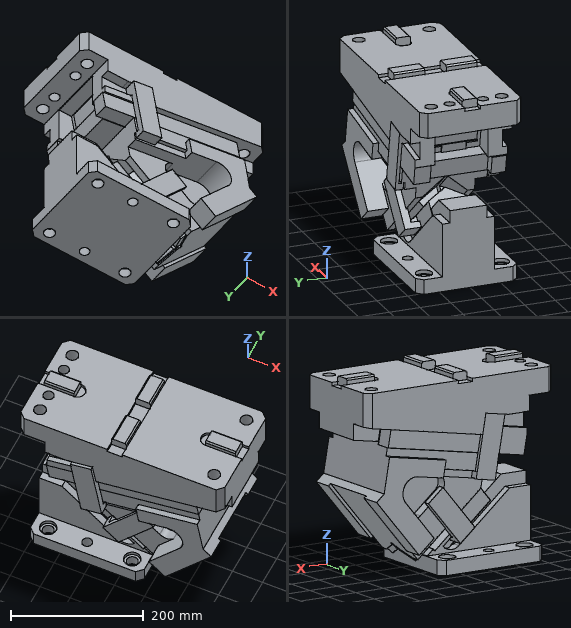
import cadquery as cq
import math


WIDTH = 165.0
HALF_WIDTH = WIDTH / 2
CORNER_CHAMFER = 10.0
DRIVE_ANGLE = 40.0
RAIL_ANGLE = 10.0

SLOPE_ORIGIN = (54.6, 110.0)
SLOPE_DIR = (math.cos(math.radians(DRIVE_ANGLE)), -math.sin(math.radians(DRIVE_ANGLE)))
SLOPE_NORMAL = (-SLOPE_DIR[1], SLOPE_DIR[0])

RAIL_ORIGIN = (45.2, 195.3)
RAIL_DIR = (math.cos(math.radians(RAIL_ANGLE)), math.sin(math.radians(RAIL_ANGLE)))
RAIL_NORMAL = (-RAIL_DIR[1], RAIL_DIR[0])


def slope_point(s, n):
    """X and Z of a point in the driver frame."""
    return tuple(SLOPE_ORIGIN[i] + s * SLOPE_DIR[i] + n * SLOPE_NORMAL[i] for i in (0, 1))


def rail_point(e, u):
    """X and Z of a point in the rail frame."""
    return tuple(RAIL_ORIGIN[i] + e * RAIL_DIR[i] + u * RAIL_NORMAL[i] for i in (0, 1))


def crossing(point_a, dir_a, point_b, dir_b):
    """X and Z where two lines, each given by a point and a direction, cross."""
    dx = point_b[0] - point_a[0]
    dz = point_b[1] - point_a[1]
    travel = (dx * dir_b[1] - dz * dir_b[0]) / (dir_a[0] * dir_b[1] - dir_a[1] * dir_b[0])
    return (point_a[0] + travel * dir_a[0], point_a[1] + travel * dir_a[1])


def across(points, half_width):
    """XZ outline extruded to both sides of Y = 0."""
    return cq.Workplane("XZ").polyline(points).close().extrude(half_width, both=True)


def front_plate(points, inner, outer):
    """XZ outline extruded on the -Y side, from Y = -inner to Y = -outer."""
    return cq.Workplane("XZ").workplane(offset=inner).polyline(points).close().extrude(outer - inner)


def on_both_sides(body):
    """A -Y side shape together with its mirror image on the +Y side."""
    return body.union(body.mirror("XZ"))


def slope_rect(s_start, s_end, n_low, n_high):
    corners = ((s_start, n_low), (s_end, n_low), (s_end, n_high), (s_start, n_high))
    return [slope_point(s, n) for s, n in corners]


def rail_rect(e_start, e_end, u_low, u_high):
    corners = ((e_start, u_low), (e_end, u_low), (e_end, u_high), (e_start, u_high))
    return [rail_point(e, u) for e, u in corners]


def slope_section_plane(s):
    """Plane across the driver slope at s, whose axes are Y and n."""
    x, z = slope_point(s, 0)
    return cq.Plane(origin=(x, 0, z), xDir=(0, 1, 0), normal=(SLOPE_DIR[0], 0, SLOPE_DIR[1]))


def slope_prism(section, s_start, s_end):
    """A (Y, n) cross-section swept straight along the driver slope."""
    return cq.Workplane(slope_section_plane(s_start)).polyline(section).close().extrude(s_end - s_start)


ROOF_PITCH = math.tan(math.radians(30))
V_HALF = 31.0
V_EAVES = 32.5
ROOF_PEAK = V_EAVES + V_HALF * ROOF_PITCH
V_START = 32.0
V_END = 155.0
PAD_THICKNESS = 11.0
PAD_START = 58.4
PAD_END = 185.0
SLIDER_FLOOR = 42.0
GROOVE_PEAK = ROOF_PEAK + PAD_THICKNESS / math.cos(math.radians(30))
GROOVE_HALF = (GROOVE_PEAK - SLIDER_FLOOR) / ROOF_PITCH
RELIEF_HALF = 2.5
RELIEF_DEPTH = 2.5

FOOT_START = 16.0
FOOT_LENGTH = 190.0
FOOT_THICKNESS = 24.0
COLUMN_HALF = 42.5
GUIDE_HALF = 30.0
GUIDE_HEIGHT = 20.0
GUIDE_TOP = 130.0
V_BLOCK_BOTTOM = 3.3
SLOT_ROUND_S = 120.0
OVERHANG_START = 97.0
TAIL_HEIGHT = 30.0
BOLT_INSET = 25.0
BOLT_Y = 62.5
BOLT_DIAMETER = 18.0
COUNTERBORE_DIAMETER = 26.0
COUNTERBORE_DEPTH = 6.0
DOWEL_OFFSET = -5.0
DOWEL_DIAMETER = 16.0


def roof_section(half_width, bottom):
    """V-roof cross-section in (Y, n)."""
    eaves = ROOF_PEAK - half_width * ROOF_PITCH
    return [
        (-half_width, bottom),
        (half_width, bottom),
        (half_width, eaves),
        (0, ROOF_PEAK),
        (-half_width, eaves),
    ]


def driver_foot():
    foot_centre = FOOT_START + FOOT_LENGTH / 2
    foot = (
        cq.Workplane("XY").center(foot_centre, 0).rect(FOOT_LENGTH, WIDTH).extrude(FOOT_THICKNESS)
        .edges("|Z").chamfer(CORNER_CHAMFER)
    )
    foot = (
        foot.faces(">Z").workplane(origin=(foot_centre, 0, 0))
        .rect(FOOT_LENGTH - 2 * BOLT_INSET, 2 * BOLT_Y, forConstruction=True).vertices()
        .cboreHole(BOLT_DIAMETER, COUNTERBORE_DIAMETER, COUNTERBORE_DEPTH)
    )
    return (
        foot.faces(">Z").workplane(origin=(foot_centre + DOWEL_OFFSET, 0, 0))
        .pushPoints([(0, -BOLT_Y), (0, BOLT_Y)]).hole(DOWEL_DIAMETER)
    )


def driver_column():
    """Column with its sloping ledge; the ledge ends in a quarter round below the overhang."""
    diagonal = GUIDE_HEIGHT * math.sqrt(0.5)
    round_middle = slope_point(SLOT_ROUND_S + diagonal, GUIDE_HEIGHT - diagonal)
    round_end = slope_point(SLOT_ROUND_S + GUIDE_HEIGHT, GUIDE_HEIGHT)
    tail_corner = slope_point(V_END, TAIL_HEIGHT)
    tail_end = crossing(tail_corner, SLOPE_DIR, (0, FOOT_THICKNESS), (1, 0))
    return (
        cq.Workplane("XZ")
        .moveTo(FOOT_START, 0)
        .lineTo(FOOT_START, SLOPE_ORIGIN[1])
        .lineTo(*SLOPE_ORIGIN)
        .lineTo(*slope_point(SLOT_ROUND_S, 0))
        .threePointArc(round_middle, round_end)
        .lineTo(*slope_point(V_END, GUIDE_HEIGHT))
        .lineTo(*tail_corner)
        .lineTo(*tail_end)
        .lineTo(tail_end[0], 0)
        .close()
        .extrude(COLUMN_HALF, both=True)
    )


def driver_guide():
    """Raised rail along the middle of the ledge."""
    guide_corner = crossing(slope_point(0, GUIDE_HEIGHT), SLOPE_DIR, (0, GUIDE_TOP), (1, 0))
    return across(
        [
            (FOOT_START, FOOT_THICKNESS),
            (FOOT_START, GUIDE_TOP),
            guide_corner,
            slope_point(V_END, GUIDE_HEIGHT),
            slope_point(SLOT_ROUND_S, 0),
        ],
        GUIDE_HALF,
    )


driver = (
    driver_foot()
    .union(driver_column())
    .union(driver_guide())
    .union(slope_prism(roof_section(V_HALF, V_BLOCK_BOTTOM), V_START, V_END))
    .union(slope_prism(roof_section(COLUMN_HALF, GUIDE_HEIGHT), OVERHANG_START, V_END))
)

SLIDER_START = 51.0
SLIDER_END = 250.0
RAIL_THICKNESS = 29.3
BAR_START = 10.0
BAR_HALF = 48.0
SHOULDER_HALF = 73.0
SHOULDER_BOTTOM = -57.5
WAIST_HALF = 67.0
WAIST_BOTTOM = -69.5
CORE_HALF = 48.3
CORE_END = 187.0
NOSE_TOP = 187.5
FLANGE_START = 146.0
FLANGE_TOP = -42.0
FLANGE_NOSE = 192.0
FLANGE_BOTTOM = 67.5
WINDOW_END = 156.5
WINDOW_RADIUS = 23.5
POCKET_FLOOR = 90.8
POCKET_DEPTH = 17.0
POCKET_RADIUS = 16.5
POCKET_END = WINDOW_END

TONGUE_START = 31.0
TONGUE_END = 160.0
STEM_HALF = 20.0
STEM_HEIGHT = 11.0
HEAD_HALF = 37.5
STRIP_TOP = 13.5
HEAD_SETBACK = 2.0
HEAD_TOP = 56.5

CLAMP_END = 86.0
CLAMP_TOP = 33.0
CLAMP_LIP = 13.0
CLAMP_BOTTOM = -68.5
CLAMP_INNER = 77.0
CLAMP_LOWER_LIP_HALF = 69.5
NOTCH_HALF = 67.0
FRONT_CLAMP_OUTER = 87.5

HOOK_START = 87.0
HOOK_END = 121.3
HOOK_BOTTOM = 10.0
HOOK_TOP = 100.5
FRONT_HOOK_OUTER = 53.3
BACK_HOOK_OUTER = 58.3
HOOK_SHANK_INNER = 45.5
HOOK_TOE_INNER = 31.6


def slider_core():
    nose_corner = crossing(rail_point(SLIDER_END, 0), RAIL_NORMAL, slope_point(0, NOSE_TOP), SLOPE_DIR)
    front_foot = crossing(rail_point(SLIDER_START, 0), RAIL_NORMAL, slope_point(0, SLIDER_FLOOR), SLOPE_DIR)
    core = across(
        [
            rail_point(SLIDER_START, -RAIL_THICKNESS),
            front_foot,
            slope_point(CORE_END, SLIDER_FLOOR),
            slope_point(CORE_END, NOSE_TOP),
            nose_corner,
            rail_point(SLIDER_END, -RAIL_THICKNESS),
        ],
        CORE_HALF,
    )
    shoulder = across(rail_rect(SLIDER_START, SLIDER_END, SHOULDER_BOTTOM, -RAIL_THICKNESS), SHOULDER_HALF)
    waist = across(rail_rect(SLIDER_START, SLIDER_END, WAIST_BOTTOM, SHOULDER_BOTTOM), WAIST_HALF)
    bar = across(rail_rect(BAR_START, SLIDER_END, -RAIL_THICKNESS, 0), BAR_HALF)
    return core.union(shoulder).union(waist).union(bar)


def v_groove():
    """V groove with a round-ended relief slot at its peak, cut along the whole slider."""
    relief_base = GROOVE_PEAK - RELIEF_HALF * ROOF_PITCH
    relief_top = relief_base + RELIEF_DEPTH
    return (
        cq.Workplane(slope_section_plane(0))
        .moveTo(-GROOVE_HALF, SLIDER_FLOOR)
        .lineTo(-RELIEF_HALF, relief_base)
        .lineTo(-RELIEF_HALF, relief_top)
        .threePointArc((0, relief_top + RELIEF_HALF), (RELIEF_HALF, relief_top))
        .lineTo(RELIEF_HALF, relief_base)
        .lineTo(GROOVE_HALF, SLIDER_FLOOR)
        .close()
        .extrude(FLANGE_NOSE)
    )


def wear_pad():
    """Pad on the -Y face of the groove, square to that face at its outer edge."""
    pad_half = GROOVE_HALF - PAD_THICKNESS * math.sin(math.radians(30))
    section = [
        (-GROOVE_HALF, SLIDER_FLOOR),
        (-RELIEF_HALF, GROOVE_PEAK - RELIEF_HALF * ROOF_PITCH),
        (-RELIEF_HALF, ROOF_PEAK - RELIEF_HALF * ROOF_PITCH),
        (-pad_half, ROOF_PEAK - pad_half * ROOF_PITCH),
    ]
    return slope_prism(section, PAD_START, PAD_END)


def side_flange():
    """Angled flange on the -Y side, with a rounded inner corner."""
    nose_corner = crossing(rail_point(SLIDER_END, 0), RAIL_NORMAL, slope_point(0, NOSE_TOP), SLOPE_DIR)
    inner_corner = crossing(rail_point(0, WAIST_BOTTOM), RAIL_DIR, slope_point(WINDOW_END, 0), SLOPE_NORMAL)
    flange = front_plate(
        [
            rail_point(FLANGE_START, FLANGE_TOP),
            rail_point(SLIDER_END, FLANGE_TOP),
            nose_corner,
            slope_point(FLANGE_NOSE, NOSE_TOP),
            slope_point(FLANGE_NOSE, FLANGE_BOTTOM),
            slope_point(WINDOW_END, FLANGE_BOTTOM),
            inner_corner,
            rail_point(FLANGE_START, WAIST_BOTTOM),
        ],
        CORE_HALF,
        HALF_WIDTH,
    )
    mid_y = -(CORE_HALF + HALF_WIDTH) / 2
    nearest = cq.NearestToPointSelector((inner_corner[0], mid_y, inner_corner[1]))
    return flange.edges("|Y").edges(nearest).fillet(WINDOW_RADIUS)


def pocket_edge_near(corner):
    """Selector for the pocket corner edge closest to an X, Z point."""
    return cq.NearestToPointSelector((corner[0], POCKET_DEPTH / 2 - CORE_HALF, corner[1]))


def side_pocket():
    """Rounded triangular pocket in the -Y side of the slider core."""
    top_line = rail_point(0, WAIST_BOTTOM)
    upper = crossing(top_line, RAIL_DIR, slope_point(POCKET_END, 0), SLOPE_NORMAL)
    tip = crossing(top_line, RAIL_DIR, slope_point(0, POCKET_FLOOR), SLOPE_DIR)
    lower = slope_point(POCKET_END, POCKET_FLOOR)
    pocket = front_plate([upper, tip, lower], CORE_HALF - POCKET_DEPTH, CORE_HALF)
    for corner, radius in ((upper, WINDOW_RADIUS), (tip, POCKET_RADIUS), (lower, POCKET_RADIUS)):
        pocket = pocket.edges("|Y").edges(pocket_edge_near(corner)).fillet(radius)
    return pocket


def tongue():
    stem = across(rail_rect(TONGUE_START, TONGUE_END, 0, STEM_HEIGHT), STEM_HALF)
    strip = across(rail_rect(TONGUE_START, TONGUE_END, STEM_HEIGHT, STRIP_TOP), HEAD_HALF)
    head_start = TONGUE_START + HEAD_SETBACK
    head = across(rail_rect(head_start, TONGUE_END, STRIP_TOP, HEAD_TOP), HEAD_HALF)
    return stem.union(strip).union(head)


def clamp(outer):
    """C-shaped clamp on the -Y side: a web with an upper and a lower lip."""
    web = front_plate(rail_rect(SLIDER_START, CLAMP_END, CLAMP_BOTTOM, CLAMP_TOP), CLAMP_INNER, outer)
    upper_lip = front_plate(rail_rect(SLIDER_START, CLAMP_END, CLAMP_LIP, CLAMP_TOP), NOTCH_HALF, CLAMP_INNER)
    lower_lip = front_plate(
        rail_rect(SLIDER_START, CLAMP_END, CLAMP_BOTTOM, SHOULDER_BOTTOM), CLAMP_LOWER_LIP_HALF, CLAMP_INNER
    )
    return web.union(upper_lip).union(lower_lip)


def return_hook(outer):
    """Hook on the -Y side: beside the core, then stepping in below the driver overhang."""
    upper_outline = slope_rect(HOOK_START, HOOK_END, SLIDER_FLOOR, HOOK_TOP)
    shank_outline = slope_rect(HOOK_START, HOOK_END, HOOK_BOTTOM, SLIDER_FLOOR)
    toe_outline = slope_rect(HOOK_START, HOOK_END, HOOK_BOTTOM, GUIDE_HEIGHT)
    upper = front_plate(upper_outline, CORE_HALF, outer)
    shank = front_plate(shank_outline, HOOK_SHANK_INNER, outer)
    toe = front_plate(toe_outline, HOOK_TOE_INNER, HOOK_SHANK_INNER)
    return upper.union(shank).union(toe)


slider = (
    slider_core()
    .cut(v_groove())
    .cut(on_both_sides(side_pocket()))
    .union(on_both_sides(wear_pad()))
    .union(on_both_sides(side_flange()))
    .union(return_hook(FRONT_HOOK_OUTER))
    .union(return_hook(BACK_HOOK_OUTER).mirror("XZ"))
    .union(tongue())
    .union(clamp(FRONT_CLAMP_OUTER))
    .union(clamp(HALF_WIDTH).mirror("XZ"))
)

HOLDER_LENGTH = 340.0
HOLDER_TOP = 300.0
PLATE_BOTTOM = 260.0
BODY_START = 45.0
LEDGE_HALF = 75.5
NOTCH_TOP = 235.5
RAIL_INNER = 49.0
FRONT_RAIL_START = -2.9
BACK_RAIL_START = 0.0
TAIL_BLOCK_HALF = 47.0
TAIL_BLOCK_THICKNESS = 24.8
RECESS_HALF = 43.0
RECESS_TOP = 258.0
RECESS_DEPTH = 33.0

KEY_WIDTH = 25.0
KEY_LENGTH = 50.0
KEY_TOP = 309.0
KEY_SLOT_DEPTH = 5.0
KEY_CHAMFER = 2.5
CROSS_SLOT_X = 161.3
CROSS_KEY_Y = 42.5
END_KEY_INSET = 10.7

SCREW_INSET = 25.0
SCREW_Y = 57.3
SCREW_DIAMETER = 19.0
PIN_Y = 27.1
PIN_DIAMETER = 16.5


def holder_block():
    """Top plate and body, with the underside parallel to the rails."""
    body_end = crossing(RAIL_ORIGIN, RAIL_DIR, (HOLDER_LENGTH, 0), (0, 1))
    body_front = crossing(RAIL_ORIGIN, RAIL_DIR, (BODY_START, 0), (0, 1))
    block = across(
        [
            (0, PLATE_BOTTOM),
            (0, HOLDER_TOP),
            (HOLDER_LENGTH, HOLDER_TOP),
            body_end,
            body_front,
            (BODY_START, PLATE_BOTTOM),
        ],
        HALF_WIDTH,
    )
    front_corners = block.faces("<X").edges("|Z")
    tail_corners = block.faces(">X").edges("|Z")
    return front_corners.add(tail_corners).chamfer(CORNER_CHAMFER)


def clamp_notch():
    """Opening on the -Y side, through which the clamp reaches over the ledge."""
    ledge_front = crossing(rail_point(0, CLAMP_LIP), RAIL_DIR, (BODY_START, 0), (0, 1))
    body_front = crossing(RAIL_ORIGIN, RAIL_DIR, (BODY_START, 0), (0, 1))
    top_break = crossing(rail_point(0, CLAMP_TOP), RAIL_DIR, (0, NOTCH_TOP), (1, 0))
    deep = front_plate(
        [
            (BODY_START, NOTCH_TOP),
            top_break,
            rail_point(CLAMP_END, CLAMP_TOP),
            rail_point(CLAMP_END, CLAMP_LIP),
            ledge_front,
        ],
        NOTCH_HALF,
        HALF_WIDTH,
    )
    shallow = front_plate(
        [ledge_front, rail_point(CLAMP_END, CLAMP_LIP), rail_point(CLAMP_END, 0), body_front],
        LEDGE_HALF,
        HALF_WIDTH,
    )
    return deep.union(shallow)


def front_recess():
    """Recess in the front of the body, ahead of the slider tongue."""
    back_top = crossing(rail_point(RECESS_DEPTH, 0), RAIL_NORMAL, (0, RECESS_TOP), (1, 0))
    body_front = crossing(RAIL_ORIGIN, RAIL_DIR, (BODY_START, 0), (0, 1))
    return across(
        [(BODY_START, RECESS_TOP), back_top, rail_point(RECESS_DEPTH, 0), body_front], RECESS_HALF
    )


def guide_rail(start, outer):
    """Rail under the -Y side of the body."""
    return front_plate(rail_rect(start, SLIDER_END, -RAIL_THICKNESS, 0), RAIL_INNER, outer)


def tail_block():
    """Block under the body that closes the rail channel behind the slider."""
    end_line = (HOLDER_LENGTH, 0)
    bottom_end = crossing(rail_point(0, -TAIL_BLOCK_THICKNESS), RAIL_DIR, end_line, (0, 1))
    top_end = crossing(RAIL_ORIGIN, RAIL_DIR, end_line, (0, 1))
    return across(
        [
            rail_point(SLIDER_END, 0),
            rail_point(SLIDER_END, -TAIL_BLOCK_THICKNESS),
            bottom_end,
            top_end,
        ],
        TAIL_BLOCK_HALF,
    )


def key(x, y, along_y):
    """Key standing in its slot, chamfered along its two long top edges."""
    size = (KEY_WIDTH, KEY_LENGTH) if along_y else (KEY_LENGTH, KEY_WIDTH)
    bar = (
        cq.Workplane("XY", origin=(x, y, HOLDER_TOP - KEY_SLOT_DEPTH))
        .rect(*size).extrude(KEY_TOP - HOLDER_TOP + KEY_SLOT_DEPTH)
    )
    return bar.faces(">Z").edges("|Y" if along_y else "|X").chamfer(KEY_CHAMFER)


def cross_slot():
    return (
        cq.Workplane("XY", origin=(CROSS_SLOT_X, 0, HOLDER_TOP - KEY_SLOT_DEPTH))
        .rect(KEY_WIDTH, WIDTH).extrude(KEY_SLOT_DEPTH)
    )


def end_slot(end_x, round_x):
    """Key slot that is open at one end of the plate and rounded at the other."""
    floor = cq.Workplane("XY", origin=(0, 0, HOLDER_TOP - KEY_SLOT_DEPTH))
    middle = (end_x + round_x) / 2
    straight = floor.center(middle, 0).rect(abs(round_x - end_x), KEY_WIDTH).extrude(KEY_SLOT_DEPTH)
    rounded = floor.center(round_x, 0).circle(KEY_WIDTH / 2).extrude(KEY_SLOT_DEPTH)
    return straight.union(rounded)


def vertical_holes(points, diameter):
    return cq.Workplane("XY").pushPoints(points).circle(diameter / 2).extrude(HOLDER_TOP)


screw_points = [(x, y) for x in (SCREW_INSET, HOLDER_LENGTH - SCREW_INSET) for y in (-SCREW_Y, SCREW_Y)]
pin_points = [(SCREW_INSET, -PIN_Y), (SCREW_INSET, PIN_Y)]

holder = (
    holder_block()
    .cut(on_both_sides(clamp_notch()))
    .cut(front_recess())
    .cut(tongue())
    .union(guide_rail(FRONT_RAIL_START, SHOULDER_HALF))
    .union(guide_rail(BACK_RAIL_START, LEDGE_HALF).mirror("XZ"))
    .union(tail_block())
    .cut(cross_slot())
    .cut(vertical_holes(screw_points, SCREW_DIAMETER))
    .cut(vertical_holes(pin_points, PIN_DIAMETER))
)
for y in (-CROSS_KEY_Y, CROSS_KEY_Y):
    holder = holder.union(key(CROSS_SLOT_X, y, along_y=True))
for end_x, inward in ((0, 1), (HOLDER_LENGTH, -1)):
    round_x = end_x + inward * (END_KEY_INSET + KEY_LENGTH)
    key_x = end_x + inward * (END_KEY_INSET + KEY_LENGTH / 2)
    holder = holder.cut(end_slot(end_x, round_x)).union(key(key_x, 0, along_y=False))

result = cq.Compound.makeCompound([driver.val(), slider.val(), holder.val()])